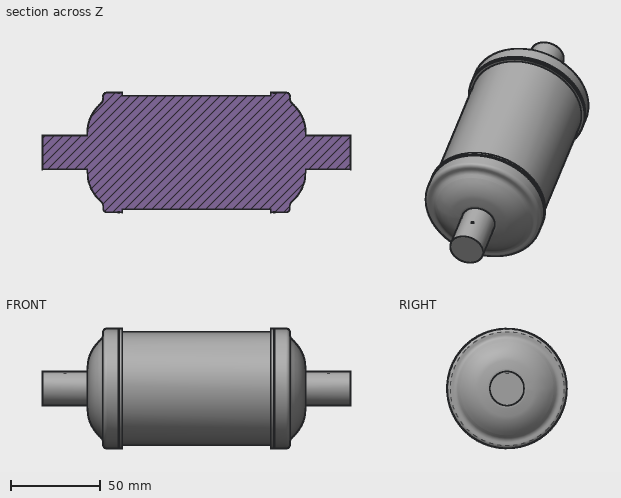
import cadquery as cq
import math

total_length = 172.0
cap_diameter = 67.0
body_diameter = 63.6
pipe_diameter = 19.1
pipe_length = 25.0

rim_x = 41.5
groove_x = 43.0
groove_width = 0.7
groove_depth = 0.3
shoulder_radius = 2.2
dome_flat_radius = 10.8
dome_arc_radius = 21.7
cone_rise = 1.46
blend_radius = 3.3
cone_angle = math.radians(45)

mark_diameter = 1.2
mark_depth = 1.0

end_x = total_length / 2
dome_x = end_x - pipe_length
cap_radius = cap_diameter / 2
body_radius = body_diameter / 2
pipe_radius = pipe_diameter / 2


def arc_point(center, radius, angle):
    """Point on an arc in the (x, radius) half plane, angle measured from +X."""
    return (center[0] + radius * math.cos(angle), center[1] + radius * math.sin(angle))


def end_profile():
    """Closed outline of the +X end cap and pipe, starting at the cap rim."""
    dome_center = (dome_x - dome_arc_radius, dome_flat_radius)
    dome_middle = arc_point(dome_center, dome_arc_radius, cone_angle / 2)
    dome_edge = arc_point(dome_center, dome_arc_radius, cone_angle)
    cone_edge = (dome_edge[0] - cone_rise, dome_edge[1] + cone_rise)

    blend_center = arc_point(cone_edge, blend_radius, cone_angle)
    blend_middle = arc_point(blend_center, blend_radius, math.pi + cone_angle / 2)
    shoulder_x = blend_center[0] - blend_radius

    shoulder_center = (shoulder_x - shoulder_radius, cap_radius - shoulder_radius)
    shoulder_middle = arc_point(shoulder_center, shoulder_radius, math.pi / 4)
    groove_radius = cap_radius - groove_depth

    return (
        cq.Workplane("XY")
        .moveTo(rim_x, 0)
        .lineTo(end_x, 0)
        .lineTo(end_x, pipe_radius)
        .lineTo(dome_x, pipe_radius)
        .lineTo(dome_x, dome_flat_radius)
        .threePointArc(dome_middle, dome_edge)
        .lineTo(*cone_edge)
        .threePointArc(blend_middle, (shoulder_x, blend_center[1]))
        .lineTo(shoulder_x, shoulder_center[1])
        .threePointArc(shoulder_middle, (shoulder_center[0], cap_radius))
        .lineTo(groove_x + groove_width, cap_radius)
        .lineTo(groove_x + groove_width, groove_radius)
        .lineTo(groove_x, groove_radius)
        .lineTo(groove_x, cap_radius)
        .lineTo(rim_x, cap_radius)
        .close()
    )


def pipe_marks():
    """Cutters for the small holes on top of the two pipes."""
    mark_x = end_x - pipe_length / 2
    return (
        cq.Workplane("XY", origin=(0, 0, pipe_radius - mark_depth))
        .pushPoints([(-mark_x, 0), (mark_x, 0)])
        .circle(mark_diameter / 2)
        .extrude(2 * mark_depth)
    )


body = cq.Workplane("YZ").circle(body_radius).extrude(rim_x, both=True)
end = end_profile().revolve(360, (0, 0, 0), (1, 0, 0))
filter_body = body.union(end).union(end.mirror("YZ"))
result = filter_body.cut(pipe_marks())